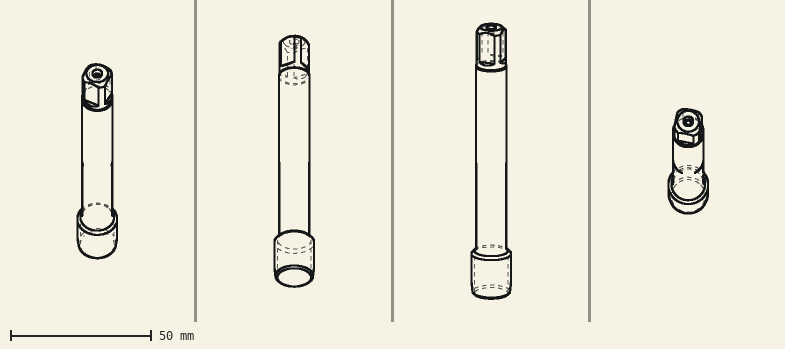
import cadquery as cq
import math

total_length = 100.0

sleeve_radius = 14.2 / 2
core_radius = 6.0
sleeve_top = 16.0
lead_top = 4.4
lead_small_radius = 6.7
nose_height = 0.7

neck_radius = 10.7 / 2
neck_fillet = core_radius - neck_radius
shank_radius = 11.0 / 2
shank_bottom = 48.6
shank_bottom_bevel = 0.6
shank_top = 85.7
shank_top_bevel = 0.4
collar_radius = 10.6 / 2

square_width = 9.0
square_bottom = 88.1
drive_tip_radius = 3.85
drive_tip_bevel = collar_radius - drive_tip_radius

centre_radius = 2.0 / 2
centre_mouth_radius = 1.75
countersink_half_angle = math.radians(30)
drill_half_angle = math.radians(60)
centre_depth = 2.5


def revolve_profile(profile):
    """Turn a closed radius-height profile about the Z axis."""
    return profile.close().revolve(360, (0, 0, 0), (0, 1, 0))


def make_turned_shaft():
    """Core, filleted neck, shank, collar and bevelled drive tip."""
    profile = (
        cq.Workplane("XZ")
        .lineTo(core_radius, 0)
        .lineTo(core_radius, sleeve_top)
        .radiusArc((neck_radius, sleeve_top + neck_fillet), neck_fillet)
        .lineTo(neck_radius, shank_bottom)
        .lineTo(shank_radius, shank_bottom + shank_bottom_bevel)
        .lineTo(shank_radius, shank_top - shank_top_bevel)
        .lineTo(collar_radius, shank_top)
        .lineTo(collar_radius, total_length - drive_tip_bevel)
        .lineTo(drive_tip_radius, total_length)
        .lineTo(0, total_length)
    )
    return revolve_profile(profile)


def make_flat_cutter():
    """Cutter for the +X flat, with a 45 degree run-out at its lower end."""
    flat = square_width / 2
    reach = 2 * collar_radius
    return (
        cq.Workplane("XZ")
        .moveTo(flat, square_bottom)
        .lineTo(reach, square_bottom - (reach - flat))
        .lineTo(reach, total_length)
        .lineTo(flat, total_length)
        .close()
        .extrude(collar_radius, both=True)
        .intersect(
            cq.Workplane("XY").workplane(offset=shank_top)
            .rect(2 * reach, 2 * reach).extrude(total_length - shank_top)
        )
    )


def make_centre_hole():
    """Countersunk drill centre in the end of the square."""
    countersink_depth = (centre_mouth_radius - centre_radius) / math.tan(countersink_half_angle)
    point_depth = centre_radius / math.tan(drill_half_angle)
    profile = (
        cq.Workplane("XZ")
        .moveTo(0, total_length)
        .lineTo(centre_mouth_radius, total_length)
        .lineTo(centre_radius, total_length - countersink_depth)
        .lineTo(centre_radius, total_length - centre_depth)
        .lineTo(0, total_length - centre_depth - point_depth)
    )
    return revolve_profile(profile)


def make_shaft():
    shaft = make_turned_shaft()
    cutter = make_flat_cutter()
    for side in range(4):
        shaft = shaft.cut(cutter.rotate((0, 0, 0), (0, 0, 1), 90 * side))
    return shaft.cut(make_centre_hole())


def make_threaded_sleeve():
    """Sleeve around the core, bevelled at both ends with a tapered lead-in."""
    top_bevel = sleeve_radius - core_radius
    profile = (
        cq.Workplane("XZ")
        .moveTo(core_radius, 0)
        .lineTo(lead_small_radius, nose_height)
        .lineTo(sleeve_radius, lead_top)
        .lineTo(sleeve_radius, sleeve_top - top_bevel)
        .lineTo(core_radius, sleeve_top)
    )
    return revolve_profile(profile)


shaft = make_shaft()
threaded_sleeve = make_threaded_sleeve()

result = cq.Compound.makeCompound([shaft.val(), threaded_sleeve.val()])